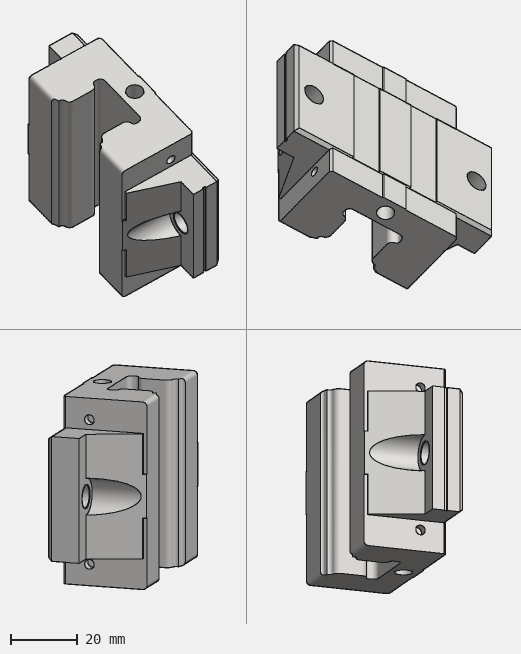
import cadquery as cq
import math


total_width = 73.0
total_height = 27.0
total_length = 57.4

block_length = 38.2
flange_underside = 17.0
flange_root_half = 30.2
skirt_half = 24.25
skirt_bottom = 1.1
heel_length = 13.4
top_chamfer_drop = 1.3
top_chamfer_width = 1.0

relief_inner = 5.7
relief_outer = 15.3
relief_floor = 26.6

groove_height = 21.25
groove_width = 0.9
groove_depth = 0.5

body_width = 47.0
cap_top = 26.5
cap_chamfer = 0.75
cap_bottom_radius = 1.4

ridge_top = 26.8
ridge_top_half = 4.0
ridge_base_half = 17.5
ridge_base = 15.2

mount_spacing = 60.0
mount_diameter = 6.9
mount_mouth_diameter = 7.3
spotface_diameter = 11.2

port_diameter = 5.4
port_height = 22.05
port_depth = 8.0
drill_point_angle = 118.0

side_hole_diameter = 3.0
side_hole_height = 18.2
side_hole_offset = 22.1
side_hole_depth = 3.0

channel_ceiling = 17.4
channel_half = 10.4
channel_neck = 7.85
ceiling_radius = 1.8
lip_half = 12.1
lip_height = 0.95
lip_radius = 0.8
ledge_height = 1.5
neck_radius = 1.95
neck_run = channel_half - channel_neck
neck_rise = 0.5
neck_bottom = 2.9
neck_top = 14.0
neck_half_turn = math.atan2(neck_run, neck_rise) / 2
side_radius = math.hypot(neck_run, neck_rise) / math.tan(neck_half_turn) - neck_radius
channel_corners = [
    (lip_half, 0, 0),
    (lip_half, lip_height, lip_radius),
    (channel_half, ledge_height, 0),
    (channel_half, neck_bottom, side_radius),
    (channel_neck, neck_bottom + neck_rise, neck_radius),
    (channel_neck, neck_top - neck_rise, neck_radius),
    (channel_half, neck_top, side_radius),
    (channel_half, channel_ceiling, ceiling_radius),
]

cut_margin = 1.0
coincidence = 1e-6


def prism(points, length):
    """Extrude a closed XY outline, centred on Z = 0."""
    return cq.Workplane("XY").polyline(points).close().extrude(length / 2, both=True)


def mirrored(half_outline):
    """Close a right-hand half outline with its mirror image about X = 0."""
    return half_outline + [(-x, y) for x, y in reversed(half_outline)]


def rounded_outline(corners):
    """Closed wire through (x, y, radius) corners, each rounded by a tangent arc."""
    wire = None
    for i, (x, y, radius) in enumerate(corners):
        corner = cq.Vector(x, y)
        last_x, last_y, _ = corners[i - 1]
        next_x, next_y, _ = corners[(i + 1) % len(corners)]
        to_last = (cq.Vector(last_x, last_y) - corner).normalized()
        to_next = (cq.Vector(next_x, next_y) - corner).normalized()
        half_angle = to_last.getAngle(to_next) / 2
        setback = radius / math.tan(half_angle)
        to_centre = (to_last + to_next).normalized()
        arc_rise = radius / math.sin(half_angle) - radius
        start = corner + to_last * setback
        if wire is None:
            wire = cq.Workplane("XY").moveTo(start.x, start.y)
        elif (start - wire_end).Length > coincidence:
            wire = wire.lineTo(start.x, start.y)
        wire_end = start
        if radius > 0:
            middle = corner + to_centre * arc_rise
            end = corner + to_next * setback
            wire = wire.threePointArc((middle.x, middle.y), (end.x, end.y))
            wire_end = end
    return wire.close()


def flanged_block():
    """Steel block with chamfered flanges, sloped sides, reliefs and the reference groove."""
    half = total_width / 2
    chamfer_foot = total_height - top_chamfer_drop
    chamfer_half = half - top_chamfer_width
    flange_side = [(half, flange_underside), (half, chamfer_foot), (chamfer_half, total_height)]
    skirt_side = [(skirt_half, skirt_bottom), (flange_root_half, flange_underside)]
    block = prism(mirrored(skirt_side + flange_side), block_length)

    slope = (flange_root_half - skirt_half) / (flange_underside - skirt_bottom)
    heel_half = skirt_half - skirt_bottom * slope
    heel = prism(mirrored([(heel_half, 0), (skirt_half, skirt_bottom)]), heel_length)
    block = block.union(heel)

    for end in (-1, 1):
        face = end * block_length / 2
        wedge = (
            cq.Workplane("YZ")
            .moveTo(chamfer_foot, face)
            .lineTo(total_height, face)
            .lineTo(total_height, face - end * top_chamfer_width)
            .close()
            .extrude(half, both=True)
        )
        block = block.cut(wedge)

    relief_width = relief_outer - relief_inner
    relief_centre = (relief_inner + relief_outer) / 2
    relief_depth = total_height - relief_floor
    for side in (-1, 1):
        relief = cq.Workplane("XY").box(relief_width, 2 * relief_depth, block_length)
        block = block.cut(relief.translate((side * relief_centre, total_height, 0)))

    groove = cq.Workplane("XY").box(2 * groove_depth, groove_width, block_length)
    return block.cut(groove.translate((half, groove_height, 0)))


def capped_body():
    """Full-length central body with rounded lower ends and the raised ridge."""
    half = body_width / 2
    outline = [(half, 0), (half, cap_top - cap_chamfer), (half - cap_chamfer, cap_top)]
    body = prism(mirrored(outline), total_length)
    ridge = prism(mirrored([(ridge_base_half, ridge_base), (ridge_top_half, ridge_top)]), total_length)
    body = body.union(ridge)
    return body.faces("<Y").edges("|X").fillet(cap_bottom_radius)


def rail_channel():
    """Cutter for the rail channel, longer than the body at both ends."""
    left = [(-x, y, radius) for x, y, radius in reversed(channel_corners)]
    return rounded_outline(channel_corners + left).extrude(total_length / 2 + cut_margin, both=True)


def mounting_hole(x):
    """Through bore with a chamfered mouth, and a spotface that cuts into the sloped side."""
    upward = cq.Vector(0, 1, 0)
    underside = cq.Vector(x, 0, 0)
    seat = cq.Vector(x, flange_underside, 0)
    bore_radius = mount_diameter / 2
    mouth_radius = mount_mouth_diameter / 2
    bore = cq.Solid.makeCylinder(bore_radius, total_height, underside, upward)
    spotface = cq.Solid.makeCylinder(spotface_diameter / 2, flange_underside, underside, upward)
    mouth = cq.Solid.makeCone(mouth_radius, bore_radius, mouth_radius - bore_radius, seat, upward)
    return bore.fuse(spotface, mouth)


def grease_port(end):
    """Drilled hole with a conical tip, entering one end face."""
    radius = port_diameter / 2
    tip_length = radius / math.tan(math.radians(drill_point_angle / 2))
    inward = cq.Vector(0, 0, -end)
    mouth = cq.Vector(0, port_height, end * total_length / 2)
    bore = cq.Solid.makeCylinder(radius, port_depth, mouth, inward)
    tip = cq.Solid.makeCone(radius, 0, tip_length, mouth + inward * port_depth, inward)
    return bore.fuse(tip)


def side_hole(side, end):
    """Flat-bottomed hole, entering one side of one end cap."""
    inward = cq.Vector(-side, 0, 0)
    mouth = cq.Vector(side * body_width / 2, side_hole_height, end * side_hole_offset)
    return cq.Solid.makeCylinder(side_hole_diameter / 2, side_hole_depth, mouth, inward)


result = flanged_block().union(capped_body()).cut(rail_channel())
for side in (-1, 1):
    result = result.cut(mounting_hole(side * mount_spacing / 2))
    for end in (-1, 1):
        result = result.cut(side_hole(side, end))
for end in (-1, 1):
    result = result.cut(grease_port(end))